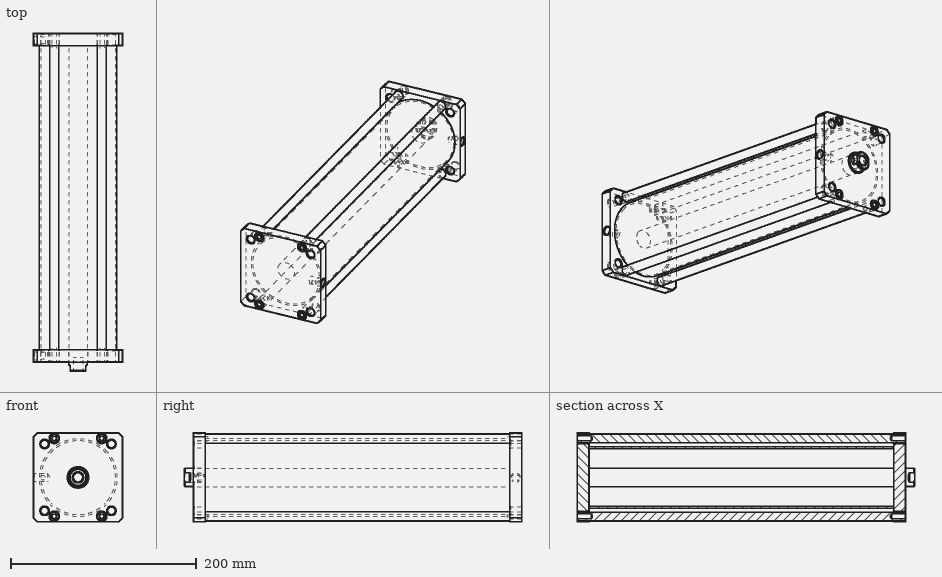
import cadquery as cq
import math

cap_size = 96.0
cap_thickness = 13.0
cap_corner_chamfer = 4.3
body_length = 354.0
rod_projection = 10.0

rod_tip_y = -(body_length + rod_projection) / 2
front_face_y = rod_tip_y + rod_projection
front_inner_y = front_face_y + cap_thickness
rear_face_y = front_face_y + body_length
rear_inner_y = rear_face_y - cap_thickness

tube_outer_diameter = 84.0
tube_inner_diameter = 80.0

mount_half_spacing = 36.0
mount_core_diameter = 8.38
mount_mouth_diameter = 10.0

tie_rod_x = 25.65
tie_rod_z = 42.0
tie_rod_diameter = 10.0
tie_rod_clearance_diameter = 10.5
tie_end_chamfer = 0.5
tie_core_diameter = 4.92
tie_core_depth = 15.0

port_core_diameter = 8.57
port_mouth_diameter = 10.11
port_depth = 15.0
port_inset = 7.0
port_bar_diameter = 5.0
port_bar_depth = 10.0

rod_diameter = 20.0
rod_tip_chamfer = 1.3
rod_flat_width = 17.0
rod_flat_length = 5.8
rod_core_diameter = 10.11
rod_mouth_diameter = 12.0
rod_core_depth = 15.0

rod_bore_diameter = 20.6
lip_diameter = 20.8
wiper_groove_diameter = 23.0

drill_tip_angle = 118.0
rod_hole_tip_angle = 167.0


def corner_points(half_x, half_z):
    """Four (x, z) points placed symmetrically about the axis."""
    return [(x, z) for x in (-half_x, half_x) for z in (-half_z, half_z)]


def cylinder_y(diameter, y_start, y_end, x=0.0, z=0.0):
    """Cylinder parallel to Y between two Y positions."""
    base = cq.Vector(x, y_start, z)
    solid = cq.Solid.makeCylinder(diameter / 2, y_end - y_start, base, cq.Vector(0, 1, 0))
    return cq.Workplane(obj=solid)


def revolve_about_axis(outline):
    """Solid of revolution about the Y axis from (radius, y) points."""
    return cq.Workplane("XY").polyline(outline).close().revolve(360, (0, 0, 0), (0, 1, 0))


def hole_tool(core_diameter, mouth_diameter, depth, mouth, direction, tip_angle):
    """Blind hole with a 45 degree mouth and a conical bottom, drilled in the XY plane."""
    core = core_diameter / 2
    mouth_radius = mouth_diameter / 2
    tip_length = core / math.tan(math.radians(tip_angle / 2))
    profile = [(0, 0), (mouth_radius, 0)]
    if mouth_radius > core:
        profile.append((core, mouth_radius - core))
    profile += [(core, depth), (0, depth + tip_length)]
    axis = cq.Vector(*direction)
    radial = axis.cross(cq.Vector(0, 0, 1))
    plane = cq.Plane(origin=mouth, xDir=radial, normal=radial.cross(axis))
    return cq.Workplane(plane).polyline(profile).close().revolve(360, (0, 0, 0), (0, 1, 0))


def mount_hole_tool(y_start, y_end, x, z):
    """Through hole parallel to Y with a 45 degree chamfer at each end."""
    chamfer = (mount_mouth_diameter - mount_core_diameter) / 2
    tool = cylinder_y(mount_core_diameter, y_start, y_end, x, z)
    for y, direction in ((y_start, 1), (y_end, -1)):
        cone = cq.Solid.makeCone(
            mount_mouth_diameter / 2,
            mount_core_diameter / 2,
            chamfer,
            cq.Vector(x, y, z),
            cq.Vector(0, direction, 0),
        )
        tool = tool.union(cq.Workplane(obj=cone))
    return tool


def port_tool(y_start, y_end, port_y):
    """Side port with the crossing bar left standing in it."""
    side_x = -cap_size / 2
    mouth = (side_x, port_y, 0)
    port = hole_tool(
        port_core_diameter, port_mouth_diameter, port_depth, mouth, (1, 0, 0), drill_tip_angle
    )
    bar = cylinder_y(port_bar_diameter, y_start, y_end, side_x + port_bar_depth)
    return port.cut(bar)


def make_cap(y_start, port_y):
    """Square end cap with mounting holes, tie rod holes and a side port."""
    y_end = y_start + cap_thickness
    cap = (
        cq.Workplane("XY")
        .box(cap_size, cap_thickness, cap_size)
        .edges("|Y")
        .chamfer(cap_corner_chamfer)
        .translate((0, (y_start + y_end) / 2, 0))
    )
    for x, z in corner_points(mount_half_spacing, mount_half_spacing):
        cap = cap.cut(mount_hole_tool(y_start, y_end, x, z))
    for x, z in corner_points(tie_rod_x, tie_rod_z):
        cap = cap.cut(cylinder_y(tie_rod_clearance_diameter, y_start, y_end, x, z))
    return cap.cut(port_tool(y_start, y_end, port_y))


def make_front_cap():
    """End cap with the rod bore and a V-shaped wiper groove around it."""
    cap = make_cap(front_face_y, front_face_y + port_inset)
    cap = cap.cut(cylinder_y(rod_bore_diameter, front_face_y, front_inner_y))
    lip_radius = lip_diameter / 2
    groove_radius = wiper_groove_diameter / 2
    groove_outline = [
        (lip_radius, front_face_y),
        (groove_radius, front_face_y),
        (groove_radius, front_face_y + groove_radius - lip_radius),
    ]
    return cap.cut(revolve_about_axis(groove_outline))


def make_rear_cap():
    return make_cap(rear_inner_y, rear_face_y - port_inset)


def make_tube():
    bore = cylinder_y(tube_inner_diameter, front_inner_y, rear_inner_y)
    return cylinder_y(tube_outer_diameter, front_inner_y, rear_inner_y).cut(bore)


def make_tie_rod(x, z):
    """Tie rod ending flush with both caps, with a blind hole in each end."""
    tie_rod = cylinder_y(tie_rod_diameter, front_face_y, rear_face_y, x, z)
    tie_rod = tie_rod.edges("%CIRCLE").chamfer(tie_end_chamfer)
    for y, direction in ((front_face_y, 1), (rear_face_y, -1)):
        hole = hole_tool(
            tie_core_diameter,
            tie_core_diameter,
            tie_core_depth,
            (x, y, z),
            (0, direction, 0),
            drill_tip_angle,
        )
        tie_rod = tie_rod.cut(hole)
    return tie_rod


def make_piston_rod():
    """Rod from its projecting tip back to the rear cap."""
    radius = rod_diameter / 2
    rod = revolve_about_axis([
        (0, rod_tip_y),
        (radius - rod_tip_chamfer, rod_tip_y),
        (radius, rod_tip_y + rod_tip_chamfer),
        (radius, rear_inner_y),
        (0, rear_inner_y),
    ])

    flat_x = rod_flat_width / 2
    flat_end_y = rod_tip_y + rod_flat_length
    flat_outline = [
        (flat_x, rod_tip_y),
        (flat_x, flat_end_y),
        (radius, flat_end_y + radius - flat_x),
        (radius, rod_tip_y),
    ]
    flat = cq.Workplane("XY").polyline(flat_outline).close().extrude(radius, both=True)
    rod = rod.cut(flat).cut(flat.mirror("YZ"))

    end_hole = hole_tool(
        rod_core_diameter,
        rod_mouth_diameter,
        rod_core_depth,
        (0, rod_tip_y, 0),
        (0, 1, 0),
        rod_hole_tip_angle,
    )
    return rod.cut(end_hole)


front_cap = make_front_cap()
rear_cap = make_rear_cap()
tube = make_tube()
piston_rod = make_piston_rod()
tie_rods = [make_tie_rod(x, z) for x, z in corner_points(tie_rod_x, tie_rod_z)]

bodies = [front_cap, rear_cap, tube, piston_rod, *tie_rods]
result = cq.Compound.makeCompound([body.solids().val() for body in bodies])